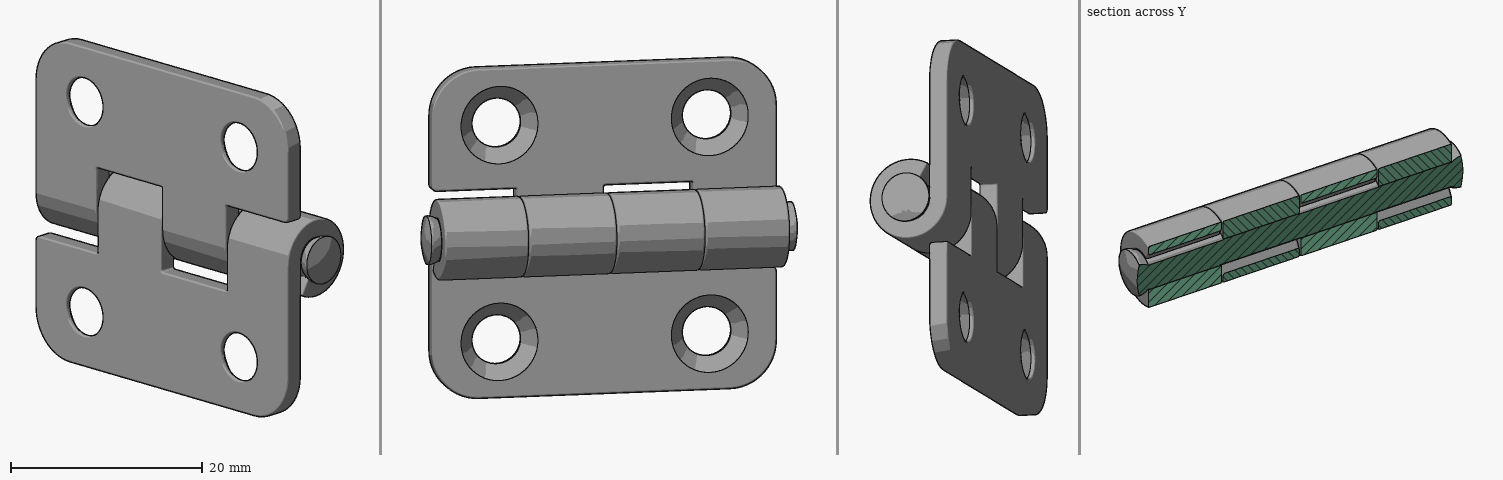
import cadquery as cq
import math

LEAF_WIDTH = 36.9
OPEN_LENGTH = 35.0
LEAF_REACH = OPEN_LENGTH / 2
PLATE = 2.0
KNUCKLE_R = 4.25
BORE_R = KNUCKLE_R - PLATE
CURL_END_ANGLE = 60.0
CORNER_R = 5.0
EDGE_R = 0.2

KNUCKLE_PITCH = 9.45
KNUCKLE_GAP = 0.1
NOTCH_EDGE = 4.7
NOTCH_CORNER_R = 0.5
NOTCH_ROOT_R = 0.2

HOLE_D = 5.2
HOLE_THROAT = 0.5
COUNTERSINK_ANGLE = 90.0
HOLE_SPACING = 22.5
HOLE_TO_AXIS = 11.5

PIN_LENGTH = 40.0
HEAD_R = 2.55
HEAD_DOME = 0.45
HEAD_BAND = 0.25
NECK_BULGE = 0.06

FRONT_Y = -KNUCKLE_R
BACK_Y = FRONT_Y + PLATE
HALF_WIDTH = LEAF_WIDTH / 2


def side_profile():
    """Plate and rolled knuckle in the YZ plane, plate pointing up from the axis."""
    end = math.radians(CURL_END_ANGLE)
    end_y, end_z = -math.cos(end), math.sin(end)
    return (
        cq.Workplane("YZ", origin=(-HALF_WIDTH, 0, 0))
        .moveTo(FRONT_Y, LEAF_REACH)
        .lineTo(FRONT_Y, 0)
        .threePointArc((-KNUCKLE_R * end_y, -KNUCKLE_R * end_z), (KNUCKLE_R * end_y, KNUCKLE_R * end_z))
        .lineTo(BORE_R * end_y, BORE_R * end_z)
        .threePointArc((-BORE_R * end_y, -BORE_R * end_z), (BACK_Y, 0))
        .lineTo(BACK_Y, LEAF_REACH)
        .close()
    )


def notch(x_start, x_end):
    """Block with rounded upper corners that clears a knuckle of the other leaf."""
    height = 2 * NOTCH_EDGE
    block = cq.Workplane("XY").box(x_end - x_start, height, height)
    block = block.translate(((x_start + x_end) / 2, 0, 0))
    return block.edges("|Y and >Z").fillet(NOTCH_ROOT_R)


def is_sheet_edge(edge):
    """True for the edges around the sheet faces, not for seams or edges across the thickness."""
    box = edge.BoundingBox()
    tolerance = 0.0005
    across_plate = box.xlen < tolerance and box.zlen < tolerance
    tangent_seam = abs(box.zmin) < tolerance and abs(box.zmax) < tolerance
    return not (across_plate or tangent_seam)


def screw_hole(x):
    """Cutter for a through hole at x, countersunk from the back face."""
    half_angle = math.radians(COUNTERSINK_ANGLE / 2)
    hole_r = HOLE_D / 2
    mouth_r = hole_r + (PLATE - HOLE_THROAT) * math.tan(half_angle)
    rim_mid = EDGE_R * (1 - math.sqrt(0.5))
    cutter = (
        cq.Workplane("XY")
        .moveTo(0, FRONT_Y)
        .lineTo(hole_r + EDGE_R, FRONT_Y)
        .threePointArc((hole_r + rim_mid, FRONT_Y + rim_mid), (hole_r, FRONT_Y + EDGE_R))
        .lineTo(hole_r, FRONT_Y + HOLE_THROAT)
        .lineTo(mouth_r, BACK_Y)
        .lineTo(0, BACK_Y)
        .close()
        .revolve(360, (0, 0, 0), (0, 1, 0))
    )
    return cutter.translate((x, 0, HOLE_TO_AXIS))


def make_leaf():
    """Upper leaf, with the first and third knuckles from the left."""
    half_gap = KNUCKLE_GAP / 2
    leaf = side_profile().extrude(LEAF_WIDTH)
    leaf = leaf.cut(notch(-KNUCKLE_PITCH - half_gap, half_gap))
    leaf = leaf.cut(notch(KNUCKLE_PITCH - half_gap, LEAF_WIDTH))

    leaf = leaf.edges("|Y").edges(">Z").fillet(CORNER_R)

    notch_corner = cq.selectors.NearestToPointSelector((HALF_WIDTH, (FRONT_Y + BACK_Y) / 2, NOTCH_EDGE))
    leaf = leaf.edges("|Y").edges(notch_corner).fillet(NOTCH_CORNER_R)

    sheet_edges = [edge for edge in leaf.edges().vals() if is_sheet_edge(edge)]
    leaf = leaf.newObject(sheet_edges).fillet(EDGE_R)
    for side in (-1, 1):
        leaf = leaf.cut(screw_hole(side * HOLE_SPACING / 2))
    return leaf


def make_pin():
    """Headed pin, revolved about the X axis."""
    tip = PIN_LENGTH / 2
    rim = tip - HEAD_DOME
    neck = rim - HEAD_BAND
    dome_r = (HEAD_R**2 + HEAD_DOME**2) / (2 * HEAD_DOME)
    dome_mid_r = HEAD_R / 2
    dome_mid_x = tip - dome_r + math.sqrt(dome_r**2 - dome_mid_r**2)
    neck_mid_x = (neck + HALF_WIDTH) / 2
    neck_mid_r = (HEAD_R + BORE_R) / 2 + NECK_BULGE
    return (
        cq.Workplane("XY")
        .moveTo(-tip, 0)
        .threePointArc((-dome_mid_x, dome_mid_r), (-rim, HEAD_R))
        .lineTo(-neck, HEAD_R)
        .threePointArc((-neck_mid_x, neck_mid_r), (-HALF_WIDTH, BORE_R))
        .lineTo(HALF_WIDTH, BORE_R)
        .threePointArc((neck_mid_x, neck_mid_r), (neck, HEAD_R))
        .lineTo(rim, HEAD_R)
        .threePointArc((dome_mid_x, dome_mid_r), (tip, 0))
        .close()
        .revolve(360, (0, 0, 0), (1, 0, 0))
    )


leaves = []
for turn in (0, 180):
    leaf = make_leaf().rotate((0, 0, 0), (0, 1, 0), turn)
    leaves.append(leaf.solids().val())

pin = make_pin().val()

result = cq.Compound.makeCompound([*leaves, pin])